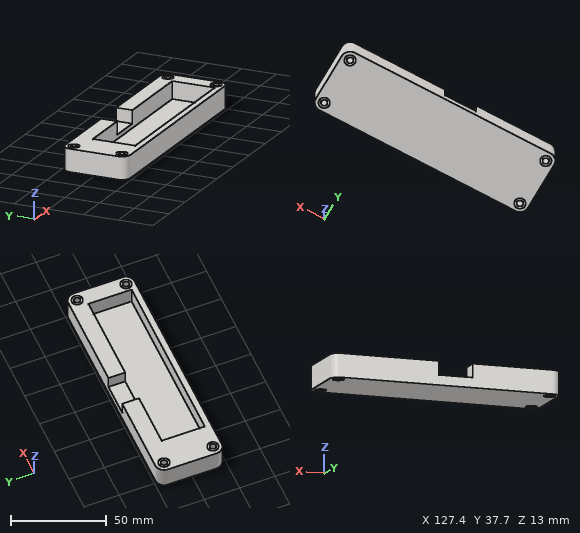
import cadquery as cq

LENGTH = 127.41
WIDTH = 37.73
HEIGHT = 13.0
CORNER_RADIUS = 5.0

POCKET_LENGTH = 99.0
POCKET_WIDTH = 24.5
POCKET_DEPTH = 10.0
LEFT_WALL = 18.9
FRONT_WALL = 3.73

CHANNEL_WIDTH = 18.6
CHANNEL_DEPTH = 7.5
CHANNEL_OFFSET = 30.7

SLEEVE_DIAMETER = 6.0
BORE_DIAMETER = 3.4

pocket_left = -LENGTH / 2 + LEFT_WALL
pocket_front = -WIDTH / 2 + FRONT_WALL
pocket_rear = pocket_front + POCKET_WIDTH
rear_wall = WIDTH / 2 - pocket_rear
sleeve_x = LENGTH / 2 - CORNER_RADIUS
sleeve_y = WIDTH / 2 - CORNER_RADIUS
sleeve_centres = [(x, y) for x in (-sleeve_x, sleeve_x) for y in (-sleeve_y, sleeve_y)]


def make_recess(left, front, length, width, depth):
    """Box that cuts down from the top face, placed by its left front corner."""
    return (
        cq.Workplane("XY")
        .box(length, width, depth, centered=False)
        .translate((left, front, HEIGHT - depth))
    )


def make_housing():
    """Rounded block with the pocket, the channel and the four sleeve holes."""
    block = (
        cq.Workplane("XY")
        .box(LENGTH, WIDTH, HEIGHT, centered=(True, True, False))
        .edges("|Z")
        .fillet(CORNER_RADIUS)
    )
    pocket = make_recess(pocket_left, pocket_front, POCKET_LENGTH, POCKET_WIDTH, POCKET_DEPTH)
    channel_left = pocket_left + CHANNEL_OFFSET
    channel = make_recess(channel_left, pocket_rear, CHANNEL_WIDTH, rear_wall, CHANNEL_DEPTH)
    sleeve_holes = (
        cq.Workplane("XY")
        .pushPoints(sleeve_centres)
        .circle(SLEEVE_DIAMETER / 2)
        .extrude(HEIGHT)
    )
    return block.cut(pocket).cut(channel).cut(sleeve_holes)


def make_sleeve(x, y):
    """Plain tube standing in one corner hole, flush with both faces of the block."""
    return (
        cq.Workplane("XY", origin=(x, y, 0))
        .circle(SLEEVE_DIAMETER / 2)
        .circle(BORE_DIAMETER / 2)
        .extrude(HEIGHT)
    )


housing = make_housing()
sleeves = [make_sleeve(x, y) for x, y in sleeve_centres]

result = cq.Compound.makeCompound([housing.val(), *[sleeve.val() for sleeve in sleeves]])